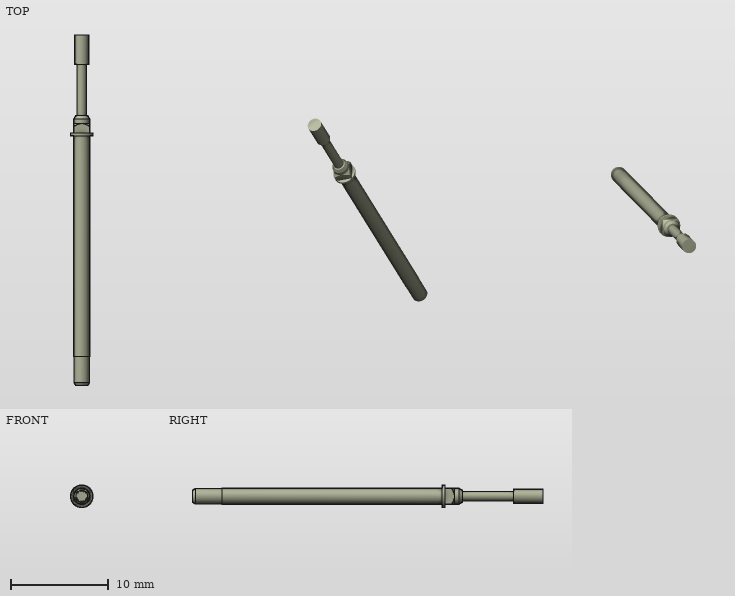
import cadquery as cq

overall_length = 35.8
barrel_length = 25.5
flange_thickness = 0.3
square_length = 0.95
square_cone_length = 0.3
collar_length = 0.45
nose_length = 0.35
contact_head_length = 3.0
tail_length = 3.0
tail_chamfer_length = 0.3
tail_chamfer_depth = 0.2

flange_diameter = 2.3
barrel_diameter = 1.65
tail_diameter = 1.6
collar_diameter = 1.65
nose_tip_diameter = 1.25
plunger_diameter = 1.0
contact_head_diameter = 1.45
square_width = collar_diameter
square_diagonal = square_width * 2**0.5

tail_end = -barrel_length
tail_start = tail_end + tail_length
square_start = flange_thickness
square_end = square_start + square_length
collar_end = square_end + collar_length
nose_end = collar_end + nose_length
contact_end = overall_length - barrel_length
contact_start = contact_end - contact_head_length


def rod(diameter, start, end):
    """Round rod on the probe axis between two Y stations."""
    plane = cq.Plane(origin=(0, start, 0), xDir=(1, 0, 0), normal=(0, 1, 0))
    return cq.Workplane(plane).circle(diameter / 2).extrude(end - start)


def square_section():
    """Square block whose corners run into the round collar on a cone."""
    block = cq.Workplane("XY").box(square_width, square_length, square_width)
    block = block.translate((0, square_start + square_length / 2, 0))
    corner_rise = (square_diagonal - collar_diameter) / 2
    envelope = rod(square_diagonal, square_start, square_end)
    envelope = envelope.faces(">Y").chamfer(square_cone_length, corner_rise)
    return block.intersect(envelope)


def collar():
    """Round collar with a conical nose around the plunger."""
    nose_height = (collar_diameter - nose_tip_diameter) / 2
    return rod(collar_diameter, square_end, nose_end).faces(">Y").chamfer(nose_length, nose_height)


tail = rod(tail_diameter, tail_end, tail_start).faces("<Y").chamfer(tail_chamfer_length, tail_chamfer_depth)
barrel = rod(barrel_diameter, tail_start, 0)
flange = rod(flange_diameter, 0, flange_thickness)
plunger = rod(plunger_diameter, nose_end, contact_start)
contact_head = rod(contact_head_diameter, contact_start, contact_end)

result = (
    tail.union(barrel)
    .union(flange)
    .union(square_section())
    .union(collar())
    .union(plunger)
    .union(contact_head)
)